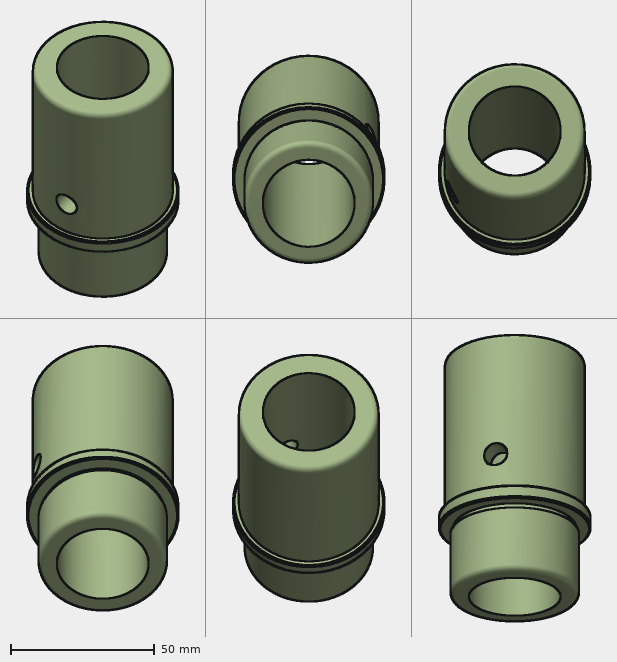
import cadquery as cq

total_height = 90.0
flange_diameter = 53.0
body_diameter = 49.0
spigot_diameter = 45.0
bore_diameter = 32.0

flange_bottom = 26.0
flange_top = 31.0

end_fillet = 2.0
flange_chamfer = 0.5

undercut_depth = 0.9
undercut_length = 2.0

hole_diameter = 8.4
hole_height = 44.0


def cylinder(diameter, bottom, top):
    """Upright cylinder on the Z axis between two heights."""
    return cq.Workplane("XY").workplane(offset=bottom).circle(diameter / 2).extrude(top - bottom)


spigot = cylinder(spigot_diameter, 0, flange_bottom).faces("<Z").edges().fillet(end_fillet)

spigot_radius = spigot_diameter / 2
neck_radius = spigot_radius - undercut_depth
arc_radius = (undercut_length**2 + undercut_depth**2) / (2 * undercut_depth)
undercut = (
    cq.Workplane("XZ")
    .moveTo(spigot_radius, flange_bottom)
    .lineTo(neck_radius, flange_bottom)
    .radiusArc((spigot_radius, flange_bottom - undercut_length), -arc_radius)
    .close()
    .revolve(360, (0, 0, 0), (0, 1, 0))
)
spigot = spigot.cut(undercut)

flange = cylinder(flange_diameter, flange_bottom, flange_top).edges().chamfer(flange_chamfer)

body = cylinder(body_diameter, flange_top, total_height).faces(">Z").edges().fillet(end_fillet)

bore = cylinder(bore_diameter, 0, total_height)

radial_hole = (
    cq.Workplane("XZ")
    .center(0, hole_height)
    .circle(hole_diameter / 2)
    .extrude(body_diameter)
)

result = spigot.union(flange).union(body).cut(bore).cut(radial_hole)